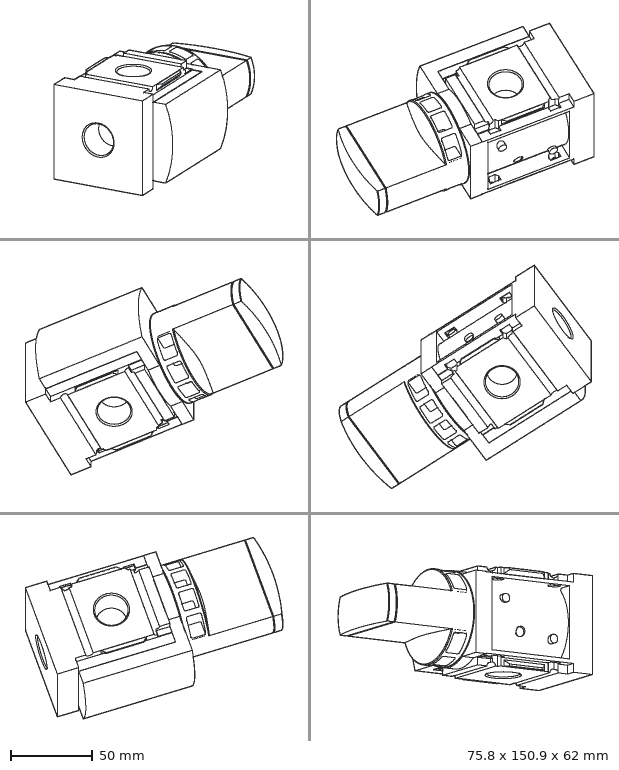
import cadquery as cq
import math


LENGTH = 150.9
WIDTH = 75.8
BLOCK_WIDTH = 62.0
HALF_BLOCK = BLOCK_WIDTH / 2
COVER_REACH = WIDTH - HALF_BLOCK
OVERCUT = 1.5

FRONT_BLOCK_END = 13.9
RAISED_END = 76.7
BODY_END = 84.7
COVER_Z = 25.8
LEDGE_Z = 25.5
PAD_HALF_WIDTH = 24.3
COLLAR_SEAT_DIAMETER = 60.0
COVER_FLAT_X = 39.7

CORNER_STEP_WIDTH = 4.0
CORNER_STEP_START = 67.5
CORNER_STEP_Z = 26.3

GROOVE_RADIUS = 2.4
GROOVE_PLACES = (23.1, 67.5)
CLAMP_PLACES = (24.6, 65.8)
CLAMP_LENGTH = 7.1
CLAMP_TIP_LENGTH = 4.2
CLAMP_OUTER_X = 27.5
CLAMP_INNER_X = 22.5

PORT_MOUTH_DIAMETER = 22.3
PORT_DIAMETER = 20.5
PORT_FLOOR_DIAMETER = 19.0
PORT_CHAMFER = 0.9
PORT_DEPTH = 18.1
PORT_Y = 45.4

LIP_REACH = 2.4
LIP_INNER_LENGTH = 29.6
LIP_OUTER_LENGTH = 24.1
LIP_TOP_Z = 30.8
LIP_EDGE_Z = 29.6
LIP_KNEE_Z = 27.9
LIP_KNEE_REACH = 0.8
LIP_ROOT_Z = 26.9

WINDOW_START = 16.7
WINDOW_END = 72.9
WINDOW_HALF_HEIGHT = 23.0
INSERT_RADIUS = 29.7
INSERT_EDGE_Z = 20.8
PIN_DIAMETER = 5.5
PIN_TIP_X = -30.2
PIN_PLACES = ((62.3, 10.9), (27.5, -11.2))
PIN_ROOT_DEPTH = 7.5
BLIND_HOLE_DIAMETER = 6.2
BLIND_HOLE_PLACE = (50.7, -8.8)
BLIND_HOLE_FLOOR_X = -27.3

KNOB_DIAMETER = 59.8
KNOB_RADIUS = KNOB_DIAMETER / 2
NECK_RADIUS = 29.5
COLLAR_START = 85.3
COLLAR_END = 99.5
COLLAR_CHAMFER = 0.6
COLLAR_PEAK = 106.1
GRIP_HALF_THICKNESS = 11.9
RIM_BEVEL = 0.5
DOME_START = 147.0
RING_GROOVE_Y = 141.0
RING_GROOVE_WIDTH = 0.6
RING_GROOVE_DEPTH = 0.5
POCKET_START = 88.3
POCKET_END = 98.0
POCKET_CORNER = 1.0
POCKET_X_RANGES = ((1.5, 13.5), (16.6, 26.5))


def box(x_range, y_range, z_range):
    """Axis-aligned box given by its lower and upper limits."""
    spans = [high - low for low, high in (x_range, y_range, z_range)]
    corner = (x_range[0], y_range[0], z_range[0])
    return cq.Workplane("XY").box(*spans, centered=False).translate(corner)


def extrude_along_y(profile, start, end):
    """Solid between two Y positions from a closed profile drawn in the XZ plane."""
    return profile.extrude(-(end - start)).translate((0, start, 0))


def mirrored(shape, plane):
    """The shape joined with its mirror image."""
    return shape.union(shape.mirror(plane))


def make_core():
    """Front block, lower ledges and the side cover with its bowed outer face."""
    front = box((-HALF_BLOCK, HALF_BLOCK), (0, FRONT_BLOCK_END), (-HALF_BLOCK, HALF_BLOCK))
    core_profile = (
        cq.Workplane("XZ")
        .moveTo(-HALF_BLOCK, -COVER_Z)
        .lineTo(COVER_FLAT_X, -COVER_Z)
        .threePointArc((COVER_REACH, 0), (COVER_FLAT_X, COVER_Z))
        .lineTo(-HALF_BLOCK, COVER_Z)
        .close()
    )
    core = extrude_along_y(core_profile, FRONT_BLOCK_END, BODY_END)
    ledge_relief = box((-HALF_BLOCK, HALF_BLOCK), (FRONT_BLOCK_END, RAISED_END), (LEDGE_Z, COVER_Z))
    core = core.cut(mirrored(ledge_relief, "XY"))
    seat = extrude_along_y(cq.Workplane("XZ").circle(COLLAR_SEAT_DIAMETER / 2), RAISED_END, BODY_END)
    return front.union(core).union(seat)


def make_lip():
    """Undercut lip along the -X side of the upper pad, with slanted ends."""
    root_x = -PAD_HALF_WIDTH
    tip_x = root_x - LIP_REACH
    section = cq.Workplane("XZ").polyline([
        (root_x, LIP_TOP_Z),
        (tip_x, LIP_TOP_Z),
        (tip_x, LIP_EDGE_Z),
        (root_x - LIP_KNEE_REACH, LIP_KNEE_Z),
        (root_x, LIP_ROOT_Z),
    ]).close()
    half_root = LIP_INNER_LENGTH / 2
    half_tip = LIP_OUTER_LENGTH / 2
    bar = extrude_along_y(section, PORT_Y - half_root, PORT_Y + half_root)
    outline = cq.Workplane("XY").polyline([
        (root_x, PORT_Y - half_root),
        (tip_x, PORT_Y - half_tip),
        (tip_x, PORT_Y + half_tip),
        (root_x, PORT_Y + half_root),
    ]).close().extrude(HALF_BLOCK)
    return bar.intersect(outline)


def make_upper_pad():
    """Raised pad on the +Z side with stepped rear corners, cross grooves and side lips."""
    pad = box((-PAD_HALF_WIDTH, PAD_HALF_WIDTH), (FRONT_BLOCK_END, RAISED_END), (0, HALF_BLOCK))
    corner_step = box(
        (-PAD_HALF_WIDTH, CORNER_STEP_WIDTH - PAD_HALF_WIDTH),
        (CORNER_STEP_START, RAISED_END),
        (CORNER_STEP_Z, HALF_BLOCK),
    )
    pad = pad.cut(mirrored(corner_step, "YZ"))
    for groove_y in GROOVE_PLACES:
        groove = (
            cq.Workplane("YZ")
            .center(groove_y, HALF_BLOCK)
            .circle(GROOVE_RADIUS)
            .extrude(BLOCK_WIDTH)
            .translate((-HALF_BLOCK, 0, 0))
        )
        pad = pad.cut(groove)
    return pad.union(mirrored(make_lip(), "YZ"))


def make_clamp_slots():
    """Slots beside the groove ends, running through the -X ledges into the side window."""
    half_length = CLAMP_LENGTH / 2
    half_tip = CLAMP_TIP_LENGTH / 2
    outline = cq.Workplane("XY").polyline([
        (-CLAMP_OUTER_X, -half_length),
        (-PAD_HALF_WIDTH, -half_length),
        (-CLAMP_INNER_X, -half_tip),
        (-CLAMP_INNER_X, half_tip),
        (-PAD_HALF_WIDTH, half_length),
        (-CLAMP_OUTER_X, half_length),
    ]).close()
    slot_floor = WINDOW_HALF_HEIGHT - OVERCUT
    slot = outline.extrude(HALF_BLOCK + OVERCUT - slot_floor).translate((0, 0, slot_floor))
    front_y, rear_y = CLAMP_PLACES
    slots = slot.translate((0, front_y, 0)).union(slot.translate((0, rear_y, 0)))
    return mirrored(slots, "XY")


def make_port():
    """Blind, slightly tapered port with a chamfered mouth at Z = 0, running along -Z."""
    return (
        cq.Workplane("XZ")
        .polyline([
            (0, 0),
            (PORT_MOUTH_DIAMETER / 2, 0),
            (PORT_DIAMETER / 2, -PORT_CHAMFER),
            (PORT_FLOOR_DIAMETER / 2, -PORT_DEPTH),
            (0, -PORT_DEPTH),
        ])
        .close()
        .revolve(360, (0, 0, 0), (0, 1, 0))
    )


def make_window():
    """Recess in the -X face; its floor is the round insert, met by small concave corners."""
    edge_angle = math.asin(INSERT_EDGE_Z / INSERT_RADIUS)
    edge_x = -INSERT_RADIUS * math.cos(edge_angle)
    corner_radius = (WINDOW_HALF_HEIGHT - INSERT_EDGE_Z) / (1 + math.sin(edge_angle))
    wall_x = edge_x - corner_radius * math.cos(edge_angle)
    corner_z = WINDOW_HALF_HEIGHT - corner_radius
    middle_angle = (math.pi / 2 - edge_angle) / 2
    middle_x = wall_x + corner_radius * math.cos(middle_angle)
    middle_z = corner_z + corner_radius * math.sin(middle_angle)
    mouth_x = -HALF_BLOCK - OVERCUT
    profile = (
        cq.Workplane("XZ")
        .moveTo(mouth_x, WINDOW_HALF_HEIGHT)
        .lineTo(wall_x, WINDOW_HALF_HEIGHT)
        .threePointArc((middle_x, middle_z), (edge_x, INSERT_EDGE_Z))
        .threePointArc((-INSERT_RADIUS, 0), (edge_x, -INSERT_EDGE_Z))
        .threePointArc((middle_x, -middle_z), (wall_x, -WINDOW_HALF_HEIGHT))
        .lineTo(mouth_x, -WINDOW_HALF_HEIGHT)
        .close()
    )
    return extrude_along_y(profile, WINDOW_START, WINDOW_END)


def rod_along_x(place, diameter, x_start, x_end):
    """Round rod along X at a (Y, Z) place."""
    rod = cq.Workplane("YZ").center(*place).circle(diameter / 2).extrude(x_end - x_start)
    return rod.translate((x_start, 0, 0))


def revolve_about_y(profile):
    """Full turn about the Y axis of a closed profile drawn in the XY plane."""
    return profile.close().revolve(360, (0, 0, 0), (0, 1, 0))


def make_knob_blank():
    """Round knob with a narrow neck, a bevelled rim and a domed end."""
    rim_radius = KNOB_RADIUS - RIM_BEVEL
    dome_height = LENGTH - DOME_START
    dome_radius = (rim_radius ** 2 + dome_height ** 2) / (2 * dome_height)
    half_angle = math.asin(rim_radius / dome_radius) / 2
    dome_middle = (
        dome_radius * math.sin(half_angle),
        LENGTH - dome_radius * (1 - math.cos(half_angle)),
    )
    return revolve_about_y(
        cq.Workplane("XY")
        .moveTo(0, BODY_END)
        .lineTo(NECK_RADIUS, BODY_END)
        .lineTo(NECK_RADIUS, COLLAR_START)
        .lineTo(KNOB_RADIUS, COLLAR_START)
        .lineTo(KNOB_RADIUS, DOME_START - RIM_BEVEL)
        .lineTo(rim_radius, DOME_START)
        .threePointArc(dome_middle, (0, LENGTH))
    )


def grip_slab(half_thickness, y_range):
    """Flat slab wider than the knob, centred on Z = 0."""
    reach = KNOB_RADIUS + OVERCUT
    return box((-reach, reach), y_range, (-half_thickness, half_thickness))


def make_grip_flats():
    """Material removed beside the flat grip, down to the shallow cone behind the collar."""
    outer_radius = KNOB_RADIUS + OVERCUT
    around_grip = revolve_about_y(
        cq.Workplane("XY").polyline([
            (0, COLLAR_PEAK),
            (KNOB_RADIUS - COLLAR_CHAMFER, COLLAR_END + COLLAR_CHAMFER),
            (KNOB_RADIUS, COLLAR_END),
            (outer_radius, COLLAR_END),
            (outer_radius, LENGTH + OVERCUT),
            (0, LENGTH + OVERCUT),
        ])
    )
    return around_grip.cut(grip_slab(GRIP_HALF_THICKNESS, (BODY_END, LENGTH + OVERCUT)))


def make_ring_groove():
    """Thin groove running around the grip, its rounded edges and its flats."""
    y_range = (RING_GROOVE_Y, RING_GROOVE_Y + RING_GROOVE_WIDTH)
    neck = extrude_along_y(cq.Workplane("XZ").circle(KNOB_RADIUS - RING_GROOVE_DEPTH), *y_range)
    neck = neck.intersect(grip_slab(GRIP_HALF_THICKNESS - RING_GROOVE_DEPTH, y_range))
    return grip_slab(KNOB_RADIUS, y_range).cut(neck)


def make_collar_pockets():
    """Straight pockets cut into the collar along Z, down to the level of the grip flats."""
    pockets = cq.Workplane("XY")
    for x_range in POCKET_X_RANGES:
        pocket = box(x_range, (POCKET_START, POCKET_END), (GRIP_HALF_THICKNESS, KNOB_RADIUS + OVERCUT))
        pocket = pocket.edges("|Z").fillet(POCKET_CORNER)
        pockets = pockets.add(mirrored(mirrored(pocket, "YZ"), "XY"))
    return pockets.combine()


upper_pad = make_upper_pad()
body = make_core().union(mirrored(upper_pad, "XY"))
body = body.cut(make_window()).cut(make_clamp_slots())

top_port = make_port().translate((0, PORT_Y, HALF_BLOCK))
front_port = make_port().rotate((0, 0, 0), (1, 0, 0), 90)
body = body.cut(mirrored(top_port, "XY")).cut(front_port)

for pin_place in PIN_PLACES:
    body = body.union(rod_along_x(pin_place, PIN_DIAMETER, PIN_TIP_X, PIN_TIP_X + PIN_ROOT_DEPTH))
body = body.cut(rod_along_x(BLIND_HOLE_PLACE, BLIND_HOLE_DIAMETER, -HALF_BLOCK, BLIND_HOLE_FLOOR_X))

knob = make_knob_blank().cut(make_grip_flats()).cut(make_ring_groove()).cut(make_collar_pockets())

result = body.union(knob)